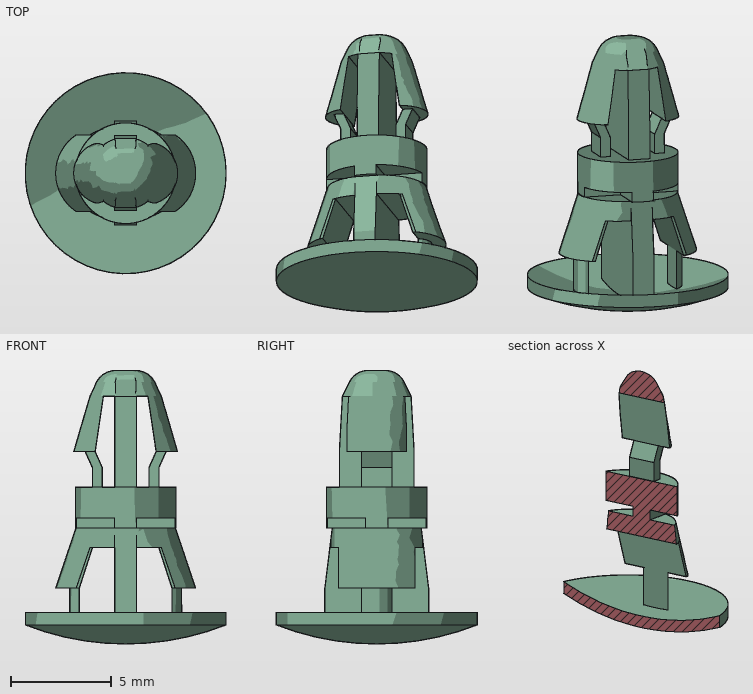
import cadquery as cq

FOOT_BOTTOM = 0.41
RIM_BOTTOM = 0.95
RIM_TOP = 1.58
CLIP_BOTTOM = 2.77
CLIP_UNDERSIDE = 4.79
CLIP_TOP = 5.77
COLLAR_BOTTOM = 6.25
COLLAR_TOP = 7.79
BARB_BOTTOM = 9.56
HEAD_BOTTOM = 12.31
HEAD_SHOULDER = 13.02
HEAD_TOP = 13.6

BASE_RADIUS = 10.0 / 2
COLLAR_RADIUS = 5.0 / 2
RIB_WIDTH = 1.1
LEG_WIDTH = 1.52

RIB_FOOT = 2.58
RIB_CLIP_TOP = 2.22
RIB_BARB = 1.86
RIB_HEAD = 1.71

CLIP_RADIUS_TOP = 2.27
CLIP_RADIUS_BOTTOM = 2.28
CLIP_REACH_TOP = 2.48
CLIP_REACH_BOTTOM = 3.48
CLIP_WIDTH = 3.81
CLIP_GAP_TOP = 1.65
CLIP_GAP_BOTTOM = 2.3
CLIP_LEG_OUTER = 2.79

BARB_RADIUS = 1.55
BARB_REACH = 2.58
BARB_WIDTH = 3.02
BARB_GAP_TOP = 1.1
BARB_GAP_BOTTOM = 1.51
LEG_THICKNESS = 0.5
CRANK_HEIGHT = 8.77
CRANK_INNER = 1.15

HEAD_RADIUS = 1.78
SHOULDER_RADIUS = 1.45
TIP_RADIUS = 0.56
HEAD_ARC_POINT = (1.13, 13.4)
FLAT_SHOULDER = 1.36
FLAT_TIP = 0.48
FLAT_ARC_POINT = (1.05, 13.4)


def prism_along_y(points, width):
    """Extrude an XZ outline symmetrically about Y = 0."""
    return cq.Workplane("XZ").polyline(points).close().extrude(width / 2, both=True)


def both_sides(solid):
    return solid.union(solid.mirror("YZ"))


def leaning_cone(bottom_z, bottom_reach, bottom_radius, top_z, top_reach, top_radius):
    """Loft between two circles, each reaching the given X; the seam lies on the inner side."""
    bottom_center = bottom_reach - bottom_radius
    top_center = top_reach - top_radius
    return (
        cq.Workplane("XY", origin=(0, 0, bottom_z))
        .center(-bottom_center, 0)
        .circle(bottom_radius)
        .workplane(offset=top_z - bottom_z)
        .center(bottom_center - top_center, 0)
        .circle(top_radius)
        .loft(ruled=True)
        .rotate((0, 0, 0), (0, 0, 1), 180)
    )


def base():
    """Shallow dish with parallel spherical faces and a cylindrical rim."""
    thickness = RIM_TOP - RIM_BOTTOM
    half_slope = 2 * RIM_BOTTOM / (BASE_RADIUS**2 + RIM_BOTTOM**2)
    sphere_radius = 1 / half_slope
    mid_radius = BASE_RADIUS / 2
    mid_z = sphere_radius - (sphere_radius**2 - mid_radius**2) ** 0.5
    return (
        cq.Workplane("XZ")
        .threePointArc((mid_radius, mid_z), (BASE_RADIUS, RIM_BOTTOM))
        .lineTo(BASE_RADIUS, RIM_TOP)
        .threePointArc((mid_radius, mid_z + thickness), (0, thickness))
        .close()
        .revolve(360, (0, 0, 0), (0, 1, 0))
    )


def rib():
    """Central blade from inside the dish to the head."""
    half = [
        (RIB_FOOT, FOOT_BOTTOM),
        (RIB_FOOT, CLIP_BOTTOM),
        (RIB_CLIP_TOP, CLIP_TOP),
        (RIB_BARB, CLIP_TOP),
        (RIB_BARB, BARB_BOTTOM),
        (RIB_HEAD, HEAD_BOTTOM),
    ]
    outline = half + [(-y, z) for y, z in reversed(half)]
    return cq.Workplane("YZ").polyline(outline).close().extrude(RIB_WIDTH / 2, both=True)


def clip_wings():
    """Lower wings, joined above the underside and trimmed to the rib's sloping faces."""
    wing = leaning_cone(
        CLIP_BOTTOM, CLIP_REACH_BOTTOM, CLIP_RADIUS_BOTTOM,
        CLIP_TOP, CLIP_REACH_TOP, CLIP_RADIUS_TOP,
    )
    outer_side = prism_along_y(
        [
            (CLIP_GAP_BOTTOM, CLIP_BOTTOM),
            (CLIP_GAP_TOP, CLIP_UNDERSIDE),
            (0, CLIP_UNDERSIDE),
            (0, CLIP_TOP),
            (BASE_RADIUS, CLIP_TOP),
            (BASE_RADIUS, CLIP_BOTTOM),
        ],
        2 * BASE_RADIUS,
    )
    rib_faces = (
        cq.Workplane("YZ")
        .polyline([
            (-RIB_FOOT, CLIP_BOTTOM),
            (RIB_FOOT, CLIP_BOTTOM),
            (RIB_CLIP_TOP, CLIP_TOP),
            (-RIB_CLIP_TOP, CLIP_TOP),
        ])
        .close()
        .extrude(BASE_RADIUS, both=True)
    )
    wing = wing.intersect(outer_side).intersect(rib_faces)
    lower_height = CLIP_UNDERSIDE - CLIP_BOTTOM
    narrow = cq.Workplane("XY", origin=(0, 0, CLIP_BOTTOM)).rect(2 * BASE_RADIUS, CLIP_WIDTH)
    wide = cq.Workplane("XY", origin=(0, 0, CLIP_UNDERSIDE)).rect(2 * BASE_RADIUS, 2 * BASE_RADIUS)
    limits = narrow.extrude(lower_height).union(wide.extrude(CLIP_TOP - CLIP_UNDERSIDE))
    return both_sides(wing.intersect(limits))


def clip_legs():
    """Round-backed legs joining the lower wings to the dish."""
    leg = (
        cq.Workplane("XY", origin=(0, 0, FOOT_BOTTOM))
        .moveTo(CLIP_GAP_BOTTOM, -LEG_WIDTH / 2)
        .threePointArc((CLIP_LEG_OUTER, 0), (CLIP_GAP_BOTTOM, LEG_WIDTH / 2))
        .close()
        .extrude(CLIP_BOTTOM - FOOT_BOTTOM)
    )
    return both_sides(leg)


def collar():
    """Full disc standing on a cross of two bars."""
    disc = (
        cq.Workplane("XY", origin=(0, 0, CLIP_TOP))
        .circle(COLLAR_RADIUS)
        .extrude(COLLAR_TOP - CLIP_TOP)
    )
    gap_height = COLLAR_BOTTOM - CLIP_TOP
    gap_plane = cq.Workplane("XY", origin=(0, 0, CLIP_TOP))
    gap = gap_plane.rect(2 * BASE_RADIUS, 2 * BASE_RADIUS).extrude(gap_height)
    for size in ((2 * BASE_RADIUS, RIB_WIDTH), (RIB_WIDTH, 2 * BASE_RADIUS)):
        gap = gap.cut(gap_plane.rect(*size).extrude(gap_height))
    return disc.cut(gap)


def barbs():
    """Upper snap barbs hanging from the head."""
    barb = leaning_cone(
        BARB_BOTTOM, BARB_REACH, BARB_RADIUS,
        HEAD_BOTTOM, HEAD_RADIUS, HEAD_RADIUS,
    )
    outer_side = prism_along_y(
        [
            (BARB_GAP_BOTTOM, BARB_BOTTOM),
            (BARB_GAP_TOP, HEAD_BOTTOM),
            (BASE_RADIUS, HEAD_BOTTOM),
            (BASE_RADIUS, BARB_BOTTOM),
        ],
        BARB_WIDTH,
    )
    return both_sides(barb.intersect(outer_side))


def cranked_legs():
    """Bent strips joining the barbs to the collar."""
    inner = [
        (CRANK_INNER, COLLAR_TOP),
        (CRANK_INNER, CRANK_HEIGHT),
        (BARB_GAP_BOTTOM, BARB_BOTTOM),
    ]
    outer = [(x + LEG_THICKNESS, z) for x, z in reversed(inner)]
    return both_sides(prism_along_y(inner + outer, LEG_WIDTH))


def head():
    """Domed head with flattened faces in line with the rib."""
    dome = (
        cq.Workplane("XZ")
        .moveTo(0, HEAD_BOTTOM)
        .lineTo(HEAD_RADIUS, HEAD_BOTTOM)
        .lineTo(SHOULDER_RADIUS, HEAD_SHOULDER)
        .threePointArc(HEAD_ARC_POINT, (TIP_RADIUS, HEAD_TOP))
        .lineTo(0, HEAD_TOP)
        .close()
        .revolve(360, (0, 0, 0), (0, 1, 0))
    )
    arc_y, arc_z = FLAT_ARC_POINT
    flats = (
        cq.Workplane("YZ")
        .moveTo(-RIB_HEAD, HEAD_BOTTOM)
        .lineTo(RIB_HEAD, HEAD_BOTTOM)
        .lineTo(FLAT_SHOULDER, HEAD_SHOULDER)
        .threePointArc((arc_y, arc_z), (FLAT_TIP, HEAD_TOP))
        .lineTo(-FLAT_TIP, HEAD_TOP)
        .threePointArc((-arc_y, arc_z), (-FLAT_SHOULDER, HEAD_SHOULDER))
        .close()
        .extrude(HEAD_RADIUS, both=True)
    )
    return dome.intersect(flats)


result = base()
for feature in (rib, clip_wings, clip_legs, collar, cranked_legs, barbs, head):
    result = result.union(feature())